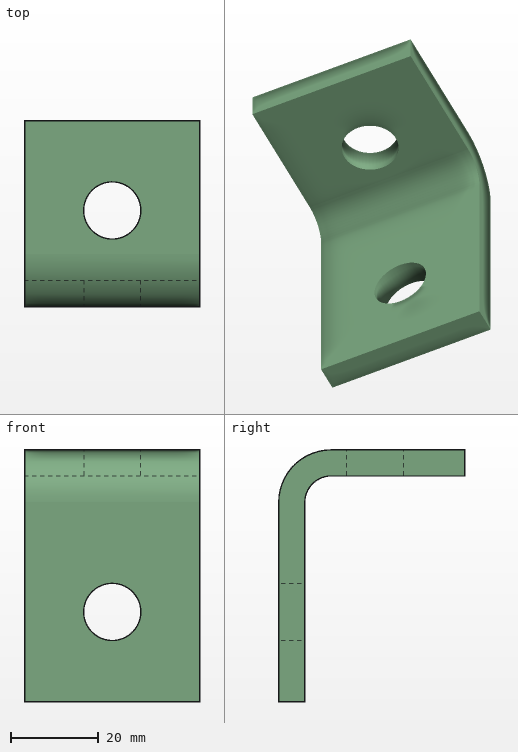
import cadquery as cq
import math

width = 40.0
depth = 42.5
height = 57.5
thickness = 6.0
inner_bend_radius = 6.0
hole_diameter = 13.0
hole_end_distance = 20.5

outer_bend_radius = inner_bend_radius + thickness
bend_center_y = outer_bend_radius
bend_center_z = height - outer_bend_radius


def bend_midpoint(radius):
    """Point halfway round the bend at the given radius, as (y, z)."""
    offset = radius * math.sqrt(0.5)
    return (bend_center_y - offset, bend_center_z + offset)


def bent_strip():
    """L-shaped strip with a round bend, centred on X = 0."""
    profile = (
        cq.Workplane("YZ")
        .moveTo(0, 0)
        .lineTo(0, bend_center_z)
        .threePointArc(bend_midpoint(outer_bend_radius), (bend_center_y, height))
        .lineTo(depth, height)
        .lineTo(depth, height - thickness)
        .lineTo(bend_center_y, height - thickness)
        .threePointArc(bend_midpoint(inner_bend_radius), (thickness, bend_center_z))
        .lineTo(thickness, 0)
        .close()
    )
    return profile.extrude(width / 2, both=True)


def upright_hole():
    """Cutter along Y through the upright leg."""
    return cq.Workplane(
        cq.Plane(origin=(0, 0, hole_end_distance), xDir=(1, 0, 0), normal=(0, 1, 0))
    ).circle(hole_diameter / 2).extrude(thickness)


def flange_hole():
    """Cutter along Z through the horizontal flange."""
    return (
        cq.Workplane("XY", origin=(0, depth - hole_end_distance, height - thickness))
        .circle(hole_diameter / 2)
        .extrude(thickness)
    )


result = bent_strip().cut(upright_hole()).cut(flange_hole())